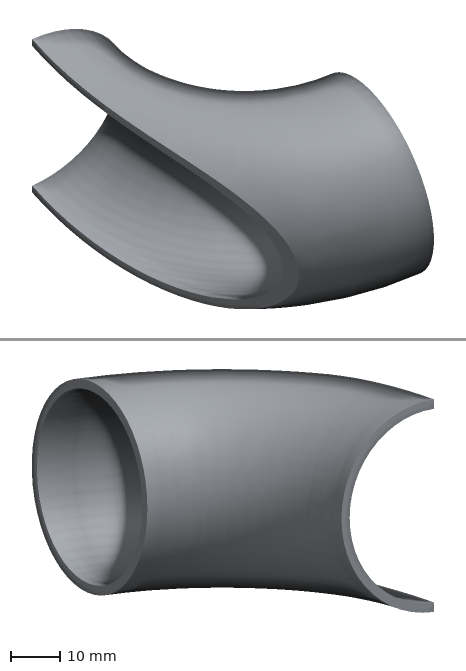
import cadquery as cq

OUTER_BEND_RADIUS = 73.25
BEND_RADIUS = 51.0
WALL = 2.0
CUT_MARGIN = 7.3

tube_radius = OUTER_BEND_RADIUS - BEND_RADIUS
bore_radius = tube_radius - WALL


def make_elbow():
    """Quarter bend from the X = 0 end to the Y = BEND_RADIUS end; its axis is parallel to Z."""
    return (
        cq.Workplane("YZ")
        .circle(tube_radius)
        .circle(bore_radius)
        .revolve(90, (BEND_RADIUS, 0), (BEND_RADIUS, 1))
    )


def make_kept_region():
    """Prism on the bend-axis side of the parabola y = x^2 / (4 * BEND_RADIUS).

    Points on the parabola lie midway between the bend's centre line and the X axis,
    so it is the mitre against a straight tube of the same diameter along X.
    """
    x_end = OUTER_BEND_RADIUS + CUT_MARGIN
    y_end = x_end**2 / (4 * BEND_RADIUS)
    y_top = BEND_RADIUS + CUT_MARGIN
    return (
        cq.Workplane("XY")
        .moveTo(0, 0)
        .bezier([(0, 0), (x_end / 2, 0), (x_end, y_end)])
        .lineTo(x_end, y_top)
        .lineTo(-CUT_MARGIN, y_top)
        .lineTo(-CUT_MARGIN, 0)
        .close()
        .extrude(tube_radius + CUT_MARGIN, both=True)
    )


result = make_elbow().intersect(make_kept_region())